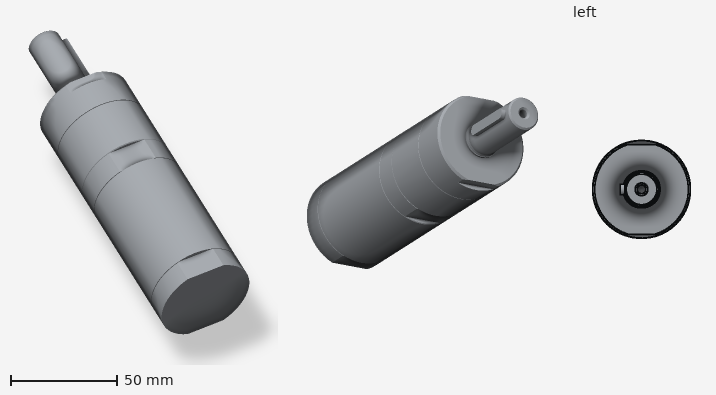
import cadquery as cq
import math

shaft_diameter = 16.0
shaft_length = 42.0
shaft_tip_chamfer = 0.8
collar_diameter = 17.5
collar_length = 1.2
collar_cone_diameter = 16.95
collar_cone_length = 1.1

centre_hole_diameter = 4.13
centre_hole_depth = 12.5
countersink_diameter = 6.0
countersink_angle = 90.0
drill_point_angle = 118.0

key_width = 5.0
key_length = 30.0
key_start = 3.7
key_top = 10.0
key_seat = 5.0

body_diameter = 46.0
overall_length = 171.5
nose_chamfer = 1.0
joint_bevel = 0.4
nose_joint = 61.6

flat_distance = 42.0
nose_flat_length = 5.7
middle_flat_start = 88.0
middle_flat_end = 100.0
rear_flat_start = 160.4


def make_shaft():
    """Shaft revolved about X: chamfered tip, short cone, then the collar against the body."""
    radius = shaft_diameter / 2
    collar_start = shaft_length - collar_length
    return (
        cq.Workplane("XY")
        .lineTo(0, radius - shaft_tip_chamfer)
        .lineTo(shaft_tip_chamfer, radius)
        .lineTo(collar_start - collar_cone_length, radius)
        .lineTo(collar_start, collar_cone_diameter / 2)
        .lineTo(collar_start, collar_diameter / 2)
        .lineTo(shaft_length, collar_diameter / 2)
        .lineTo(shaft_length, 0)
        .close()
        .revolve(360, (0, 0, 0), (1, 0, 0))
    )


def centre_hole():
    """Countersunk blind hole in the shaft tip, with a drill-point bottom."""
    radius = centre_hole_diameter / 2
    mouth_radius = countersink_diameter / 2
    countersink_depth = (mouth_radius - radius) / math.tan(math.radians(countersink_angle / 2))
    point_depth = radius / math.tan(math.radians(drill_point_angle / 2))
    return (
        cq.Workplane("XY")
        .lineTo(0, mouth_radius)
        .lineTo(countersink_depth, radius)
        .lineTo(centre_hole_depth, radius)
        .lineTo(centre_hole_depth + point_depth, 0)
        .close()
        .revolve(360, (0, 0, 0), (1, 0, 0))
    )


def make_key():
    """Round-ended parallel key standing out of the shaft along +Y."""
    return (
        cq.Workplane("XZ", origin=(key_start + key_length / 2, key_top, 0))
        .slot2D(key_length, key_width)
        .extrude(key_top - key_seat)
    )


def make_body():
    """Cylinder along X with a chamfered nose."""
    return (
        cq.Workplane("YZ", origin=(shaft_length, 0, 0))
        .circle(body_diameter / 2)
        .extrude(overall_length - shaft_length)
        .faces("<X")
        .chamfer(nose_chamfer)
    )


def joint_groove(position, direction):
    """Shallow ring, square at the given X position and bevelled towards direction (+1 or -1)."""
    radius = body_diameter / 2
    return (
        cq.Workplane("XY")
        .moveTo(position, radius - joint_bevel)
        .lineTo(position + direction * joint_bevel, radius)
        .lineTo(position, radius)
        .close()
        .revolve(360, (0, 0, 0), (1, 0, 0))
    )


def flat_cutters(start, end):
    """Pair of blocks that cut the +Z and -Z flats between two X positions."""
    depth = (body_diameter - flat_distance) / 2
    middle = (start + end) / 2
    offset = (flat_distance + depth) / 2
    return (
        cq.Workplane("XY")
        .pushPoints([(middle, 0, offset), (middle, 0, -offset)])
        .box(end - start, body_diameter, depth)
    )


body = make_body()

for position, direction in (
    (nose_joint, 1),
    (middle_flat_start, -1),
    (middle_flat_end, 1),
    (rear_flat_start, 1),
):
    body = body.cut(joint_groove(position, direction))

for start, end in (
    (shaft_length, shaft_length + nose_flat_length),
    (middle_flat_start, middle_flat_end),
    (rear_flat_start, overall_length),
):
    body = body.cut(flat_cutters(start, end))

result = body.union(make_shaft()).union(make_key()).cut(centre_hole())